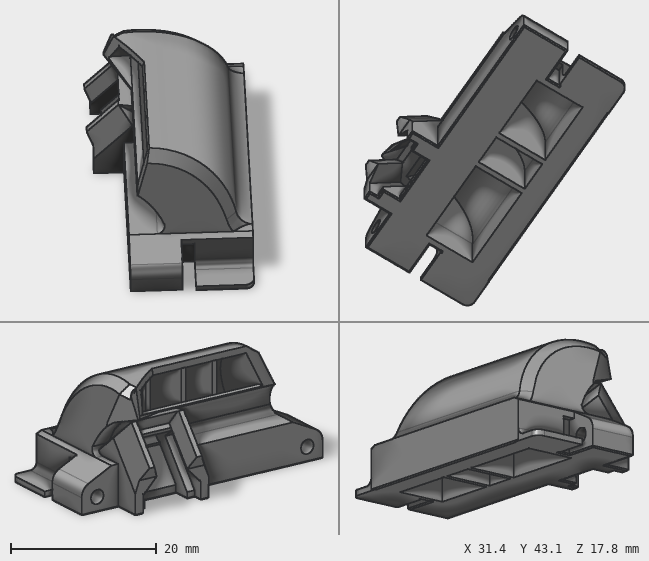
import cadquery as cq
import math

TURN = 20.0
BIG = 60.0
MARGIN = 1.0

BLOCK_LEFT = -7.5
BLOCK_TOP = 6.36
BLOCK_HALF = 15.95
SLOPE_START = 15.1
SLOPE_ANGLE = 26.0
ARM_HALF = 20.03
ARM_RIGHT = -0.35
ARM_ROUND = 2.0
PIN_DIAMETER = 2.1
PIN_V = 17.45
PIN_Z = 2.28

TAB_LEFT = 1.5
TAB_RIGHT = 9.5
TAB_THICK = 0.85
TAB_CORNER = 1.2
TAB_BLEND = 1.0
NOTCH_DEPTH = 1.0
NOTCH_TOP = 5.0

HOOD_U = -4.9
HOOD_TOP = 17.8
HOOD_RADIUS = 12.5
HOOD_Z = HOOD_TOP - HOOD_RADIUS
HOOD_BLEND = 2.3
HOOD_CHAMFER = 1.3
HOOD_SINK = 1.36
BLEND_SPAN = HOOD_RADIUS + HOOD_BLEND
BLEND_Z = BLOCK_TOP + HOOD_BLEND
BLOCK_RIGHT = HOOD_U + math.sqrt(BLEND_SPAN**2 - (BLEND_Z - HOOD_Z) ** 2)
BACK_LEAN = 21.0
FRONT_LEAN = 9.4
CORNER_START = -5.2
CORNER_ANGLE = 22.0
CORNER_OFFSET = 1.0

LIP_U = -6.15
LIP_Z = 11.95
SCOOP_U = -2.6
SCOOP_Z = 7.6
SCOOP_BULGE = 0.4
SCOOP_FOOT_U = -3.65
SPOUT_LOW = (-9.9, 13.2)
SPOUT_TOP_U = -8.5
SPOUT_WALL = 0.7

WINDOW_TOP_U = -4.5
WINDOW_LOW_U = -6.2
WINDOW_LOW_Z = 12.0
WINDOW_TURN_V = 6.3
SPOUT_SLOPE = 1.4

ROOF_WALL = 0.9
CAVITY_RADIUS = 10.9
CAVITY_Z = HOOD_TOP - ROOF_WALL - CAVITY_RADIUS
CAVITY_LEFT = -1.5
END_WALL = 1.0
LEDGE = 1.0
LEDGE_THICK = 0.1
SPOUT_FLOOR = 0.2
BACK_WALL = 1.9
FRONT_WALL = 1.2
RIB_THICK = 0.75
RIB_PLACES = (1.1, -4.1)
POST_V = 6.95
POST_LENGTH = 0.9
RIB_LEFT = -4.5

CLIP_V = 7.87
CLIP_WIDTH = 12.2
CLIP_ANGLE = 51.0
CLIP_COS = math.cos(math.radians(CLIP_ANGLE))
CLIP_SIN = math.sin(math.radians(CLIP_ANGLE))
TIP_U = -12.55
TIP_Z = 6.9
CLIP_FACE_U = -11.65
CLIP_FACE_TOP = 5.07
CLIP_TOP = 12.3
RIDGE_OUT = 4.35
RIDGE_IN = 3.5
BEVEL_DEPTH = 3.0
SHOULDER_START = 6.2
LIP_DEPTH = 1.85
GAP_HALF = 2.53
UNDERCUT_DEPTH = 3.3
UNDERCUT_HALF = 4.75
TRACK_DEPTH = 5.5
GAP_END = 6.1
TRACK_END = 5.4
RECESS_HALF = 3.5
RECESS_DEPTH = 7.45
RECESS_ROOF_DEPTH = 3.5
RECESS_END = 8.0
RECESS_TOP = 8.6
TRACK_FOOT_U = -10.2
BASE_CHAMFER = 0.2


def tan(angle):
    return math.tan(math.radians(angle))


def along_v(points, v_start, v_end):
    """Prism with a (U, Z) outline between two V stations."""
    return cq.Workplane("XZ", origin=(0, v_start, 0)).polyline(points).close().extrude(v_start - v_end)


def box(u_range, v_range, z_range):
    size = [end - start for start, end in (u_range, v_range, z_range)]
    return cq.Workplane().box(*size, centered=False).translate((u_range[0], v_range[0], z_range[0]))


def both_ends(solid):
    return solid.union(solid.mirror("XZ"))


def slope_height(v):
    return BLOCK_TOP - (v - SLOPE_START) * tan(SLOPE_ANGLE)


def make_block():
    outline = [
        (-BLOCK_HALF, 0),
        (BLOCK_HALF, 0),
        (BLOCK_HALF, slope_height(BLOCK_HALF)),
        (SLOPE_START, BLOCK_TOP),
        (-SLOPE_START, BLOCK_TOP),
        (-BLOCK_HALF, slope_height(BLOCK_HALF)),
    ]
    width = BLOCK_RIGHT - BLOCK_LEFT
    return cq.Workplane("YZ", origin=(BLOCK_LEFT, 0, 0)).polyline(outline).close().extrude(width)


def make_arm():
    outline = [
        (SLOPE_START, 0),
        (ARM_HALF, 0),
        (ARM_HALF, slope_height(ARM_HALF)),
        (SLOPE_START, BLOCK_TOP),
    ]
    arm = cq.Workplane("YZ", origin=(BLOCK_LEFT, 0, 0)).polyline(outline).close()
    arm = arm.extrude(ARM_RIGHT - BLOCK_LEFT)
    return arm.edges("|X and >Y").edges(">Z").fillet(ARM_ROUND)


def make_pin_hole():
    hole = cq.Workplane("YZ", origin=(BLOCK_LEFT, 0, 0)).center(PIN_V, PIN_Z)
    return hole.circle(PIN_DIAMETER / 2).extrude(ARM_RIGHT - BLOCK_LEFT)


def make_tab():
    tab = box((TAB_LEFT, TAB_RIGHT), (SLOPE_START, ARM_HALF), (0, TAB_THICK))
    tab = tab.edges("|Z and >X and >Y").fillet(TAB_CORNER)
    blend = (
        cq.Workplane("YZ", origin=(TAB_LEFT, 0, 0))
        .moveTo(BLOCK_HALF, TAB_THICK)
        .lineTo(BLOCK_HALF + TAB_BLEND, TAB_THICK)
        .radiusArc((BLOCK_HALF, TAB_THICK + TAB_BLEND), TAB_BLEND)
        .close()
        .extrude(TAB_RIGHT - TAB_LEFT)
    )
    return tab.union(blend)


def make_notch():
    """Pocket in the end wall between an arm and a tab."""
    return box((ARM_RIGHT, TAB_LEFT), (BLOCK_HALF - NOTCH_DEPTH, BLOCK_HALF), (0, NOTCH_TOP))


def scoop_middle():
    """Point on the scoop arc, pushed off the middle of its chord."""
    run = SCOOP_U - LIP_U
    drop = LIP_Z - SCOOP_Z
    length = math.hypot(run, drop)
    middle_u = (LIP_U + SCOOP_U) / 2 + SCOOP_BULGE * drop / length
    middle_z = (LIP_Z + SCOOP_Z) / 2 + SCOOP_BULGE * run / length
    return middle_u, middle_z


def arc_height(u, radius, center_z):
    return center_z + math.sqrt(radius**2 - (u - HOOD_U) ** 2)


def foot_middle():
    """Point on the concave blend between the scoop and the top of the block."""
    reach = math.cos(math.radians(45))
    foot_u = SCOOP_FOOT_U + (SCOOP_U - SCOOP_FOOT_U) * reach
    foot_z = SCOOP_Z - (SCOOP_Z - BLOCK_TOP) * reach
    return foot_u, foot_z


def make_hood_bar():
    """Hood outline with its scoop and side blend, longer than the finished hood."""
    sunk_z = BLOCK_TOP - HOOD_SINK
    share = HOOD_RADIUS / BLEND_SPAN
    touch = (HOOD_U + (BLOCK_RIGHT - HOOD_U) * share, HOOD_Z + (BLEND_Z - HOOD_Z) * share)
    return (
        cq.Workplane("XZ", origin=(0, -BIG / 2, 0))
        .moveTo(SCOOP_FOOT_U, sunk_z)
        .lineTo(BLOCK_RIGHT, sunk_z)
        .lineTo(BLOCK_RIGHT, BLOCK_TOP)
        .radiusArc(touch, HOOD_BLEND)
        .threePointArc((HOOD_U, HOOD_TOP), (SPOUT_TOP_U, arc_height(SPOUT_TOP_U, HOOD_RADIUS, HOOD_Z)))
        .lineTo(*SPOUT_LOW)
        .lineTo(LIP_U, LIP_Z)
        .threePointArc(scoop_middle(), (SCOOP_U, SCOOP_Z))
        .threePointArc(foot_middle(), (SCOOP_FOOT_U, BLOCK_TOP))
        .close()
        .extrude(-BIG)
    )


def end_envelope(back_inset, front_inset):
    """Space between the leaning end faces, moved inwards by the given insets."""
    back = -SLOPE_START + back_inset
    front = SLOPE_START - front_inset
    rise = HOOD_TOP + MARGIN - BLOCK_TOP
    outline = [
        (back - BLOCK_TOP * tan(BACK_LEAN), 0),
        (front + BLOCK_TOP * tan(FRONT_LEAN), 0),
        (front - rise * tan(FRONT_LEAN), BLOCK_TOP + rise),
        (back + rise * tan(BACK_LEAN), BLOCK_TOP + rise),
    ]
    body = cq.Workplane("YZ", origin=(-BIG / 2, 0, 0)).polyline(outline).close().extrude(BIG)
    corner_v = front - (HOOD_TOP - BLOCK_TOP) * tan(FRONT_LEAN) + CORNER_OFFSET
    reach = BIG / 2
    corner = (
        cq.Workplane("XY")
        .polyline(
            [
                (CORNER_START, corner_v),
                (CORNER_START - reach, corner_v - reach * tan(CORNER_ANGLE)),
                (CORNER_START - reach, reach),
                (CORNER_START, reach),
            ]
        )
        .close()
        .extrude(BIG)
    )
    return body.cut(corner)


def make_window_cut():
    """Everything outside the leaning window plane and the plane of the spout opening."""

    def outline(u_edge):
        far = -BIG / 2
        spout_v = WINDOW_TURN_V + (u_edge - far) * SPOUT_SLOPE
        return [(far, -BIG / 2), (u_edge, -BIG / 2), (u_edge, WINDOW_TURN_V), (far, spout_v)]

    return (
        cq.Workplane("XY", origin=(0, 0, WINDOW_LOW_Z))
        .polyline(outline(WINDOW_LOW_U))
        .close()
        .workplane(offset=HOOD_TOP - WINDOW_LOW_Z)
        .polyline(outline(WINDOW_TOP_U))
        .close()
        .loft(ruled=True)
    )


def make_hood():
    hood = make_hood_bar().intersect(end_envelope(0, 0))
    hood = hood.faces("%CYLINDER").faces(">Z").edges("not |Y").chamfer(HOOD_CHAMFER)
    return hood.cut(make_window_cut())


def make_cavity():
    """Hollow under the hood, open at the base and at the window."""
    half = BLOCK_HALF - NOTCH_DEPTH - END_WALL
    knee_u = HOOD_U + CAVITY_RADIUS
    ledge_u = LIP_U + LEDGE
    ledge_z = WINDOW_LOW_Z + LEDGE_THICK
    tip_u = SPOUT_LOW[0] + SPOUT_WALL
    tip_top_u = SPOUT_TOP_U + SPOUT_WALL
    tip_top_z = arc_height(tip_top_u, CAVITY_RADIUS, CAVITY_Z)
    return (
        cq.Workplane("XZ", origin=(0, -BIG / 2, 0))
        .moveTo(CAVITY_LEFT, 0)
        .lineTo(knee_u, 0)
        .lineTo(knee_u, CAVITY_Z)
        .threePointArc((HOOD_U, CAVITY_Z + CAVITY_RADIUS), (tip_top_u, tip_top_z))
        .lineTo(tip_u, SPOUT_LOW[1] + SPOUT_FLOOR)
        .lineTo(LIP_U, ledge_z)
        .lineTo(ledge_u, ledge_z)
        .lineTo(CAVITY_LEFT, SCOOP_Z)
        .close()
        .extrude(-BIG)
        .intersect(end_envelope(BACK_WALL, FRONT_WALL))
        .intersect(box((-BIG, BIG), (-half, half), (0, HOOD_TOP)))
    )


def make_ribs(cavity):
    """Full ribs across the cavity and a short post at the window corner."""

    def wall(v, u_end):
        return box((RIB_LEFT, u_end), (v - RIB_THICK / 2, v + RIB_THICK / 2), (0, HOOD_TOP))

    ribs = wall(POST_V, RIB_LEFT + POST_LENGTH)
    for v in RIB_PLACES:
        ribs = ribs.union(wall(v, BLOCK_RIGHT))
    return ribs.intersect(cavity)


def make_clip_body():
    top_u = TIP_U + (CLIP_TOP - TIP_Z) / tan(CLIP_ANGLE)
    outline = [
        (BLOCK_LEFT, 0),
        (CLIP_FACE_U, 0),
        (CLIP_FACE_U, CLIP_FACE_TOP),
        (TIP_U, TIP_Z),
        (top_u, CLIP_TOP),
        (LIP_U, LIP_Z),
        scoop_middle(),
        (SCOOP_U, SCOOP_Z),
        (SCOOP_U, BLOCK_TOP),
        (BLOCK_LEFT, BLOCK_TOP),
    ]
    return along_v(outline, CLIP_V - CLIP_WIDTH / 2, CLIP_V + CLIP_WIDTH / 2)


def along_slope(points, end):
    """Prism rising along the clip slope; points are (V offset, height out of the slope)."""
    plane = cq.Plane(
        origin=(TIP_U, CLIP_V, TIP_Z),
        xDir=(0, 1, 0),
        normal=(CLIP_COS, 0, CLIP_SIN),
    )
    return cq.Workplane(plane).workplane(offset=end).polyline(points).close().extrude(-BIG)


def make_clip_bevel(side):
    outer = CLIP_WIDTH / 2
    outline = [
        (side * RIDGE_OUT, 0),
        (side * outer, -BEVEL_DEPTH),
        (side * (outer + MARGIN), -BEVEL_DEPTH),
        (side * (outer + MARGIN), MARGIN),
        (side * RIDGE_OUT, MARGIN),
    ]
    return along_slope(outline, BIG / 2)


def outward_plane():
    """Frame at the clip tip with its second axis up the slope and its normal out of it."""
    return cq.Plane(
        origin=(TIP_U, CLIP_V, TIP_Z),
        xDir=(0, -1, 0),
        normal=(-CLIP_SIN, 0, CLIP_COS),
    )


def make_clip_shoulder(side):
    """Slanted corner at the upper end of a rail."""
    outer = CLIP_WIDTH / 2
    ridge_end = (CLIP_TOP - TIP_Z) / CLIP_SIN
    outline = [
        (side * RIDGE_OUT, ridge_end),
        (side * outer, SHOULDER_START),
        (side * BIG, SHOULDER_START),
        (side * BIG, BIG),
        (side * RIDGE_OUT, BIG),
    ]
    return cq.Workplane(outward_plane()).polyline(outline).close().extrude(BIG / 2, both=True)


def make_clip_gap():
    """Opening between the rails, widening outwards on three sides."""
    flare = RIDGE_IN - GAP_HALF
    low = -BIG / 2

    def outline(grow):
        return [
            (-GAP_HALF - grow, low),
            (GAP_HALF + grow, low),
            (GAP_HALF + grow, GAP_END + grow),
            (-GAP_HALF - grow, GAP_END + grow),
        ]

    return (
        cq.Workplane(outward_plane())
        .workplane(offset=-LIP_DEPTH)
        .polyline(outline(0))
        .close()
        .workplane(offset=2 * LIP_DEPTH)
        .polyline(outline(2 * flare))
        .close()
        .loft(ruled=True)
    )


def make_clip_track():
    """Channel under the rail lips."""
    outline = [
        (-GAP_HALF, -LIP_DEPTH),
        (-UNDERCUT_HALF, -UNDERCUT_DEPTH),
        (-UNDERCUT_HALF, -TRACK_DEPTH),
        (UNDERCUT_HALF, -TRACK_DEPTH),
        (UNDERCUT_HALF, -UNDERCUT_DEPTH),
        (GAP_HALF, -LIP_DEPTH),
    ]
    return along_slope(outline, TRACK_END)


def make_clip_recess():
    """Middle of the track, deepened and opened to the scoop above the block."""
    outline = [
        (-RECESS_HALF, -RECESS_DEPTH),
        (RECESS_HALF, -RECESS_DEPTH),
        (RECESS_HALF, -RECESS_ROOF_DEPTH),
        (-RECESS_HALF, -RECESS_ROOF_DEPTH),
    ]
    return along_slope(outline, RECESS_END)


def make_scoop_pocket():
    """Opening between the recess floor and the scoop, above the block."""
    shift_u = RECESS_DEPTH * CLIP_SIN
    shift_z = RECESS_DEPTH * CLIP_COS

    def floor_u(z):
        return TIP_U + shift_u + (z - TIP_Z + shift_z) / tan(CLIP_ANGLE) - MARGIN

    outline = [
        (floor_u(BLOCK_TOP), BLOCK_TOP),
        (SCOOP_U, BLOCK_TOP),
        (SCOOP_U, RECESS_TOP),
        (floor_u(RECESS_TOP), RECESS_TOP),
    ]
    return along_v(outline, CLIP_V - RECESS_HALF, CLIP_V + RECESS_HALF)


def make_clip_feet():
    """Upright cuts that end the slanted floors just above the base."""
    foot_z = (0, CLIP_FACE_TOP / 2)
    track = box((-BIG, TRACK_FOOT_U), (CLIP_V - UNDERCUT_HALF, CLIP_V + UNDERCUT_HALF), foot_z)
    recess = box((-BIG, BLOCK_LEFT), (CLIP_V - RECESS_HALF, CLIP_V + RECESS_HALF), foot_z)
    return track.union(recess)


def make_clip_cut():
    return make_clip_gap().union(make_clip_track()).union(make_clip_recess()).union(make_clip_feet())


def make_part():
    base = make_block().union(both_ends(make_arm())).cut(both_ends(make_notch()))
    base = base.cut(both_ends(make_pin_hole()))

    clip = make_clip_body()
    for side in (-1, 1):
        clip = clip.cut(make_clip_bevel(side)).cut(make_clip_shoulder(side))

    shell = base.union(clip).cut(make_clip_cut()).cut(make_scoop_pocket())
    shell = shell.faces("<Z").edges().chamfer(BASE_CHAMFER)
    shell = shell.union(both_ends(make_tab())).cut(both_ends(make_notch()))
    shell = shell.union(make_hood())

    cavity = make_cavity()
    return shell.cut(cavity).union(make_ribs(cavity).cut(make_window_cut()))


result = make_part().rotate((0, 0, 0), (0, 0, 1), TURN)